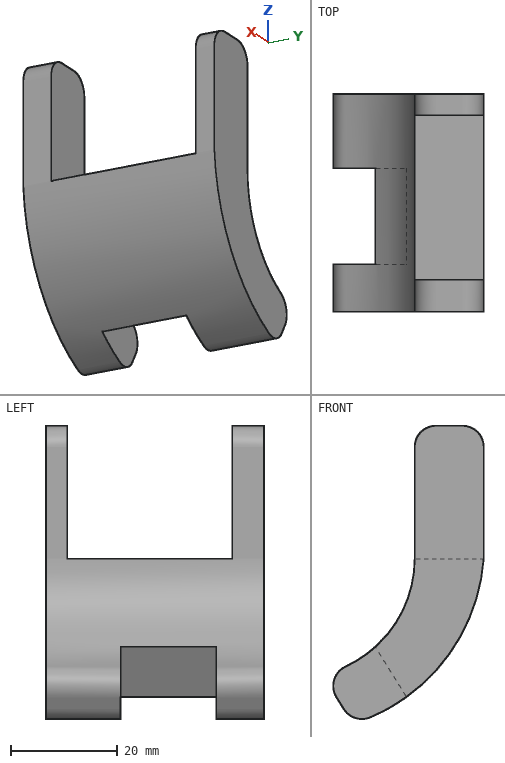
import cadquery as cq
import math


total_width = 41.0
total_height = 55.15
plate_thickness = 13.0
corner_radius = 4.0

front_arm_width = 6.0
back_arm_width = 4.0
web_top_z = 30.15

inner_radius = 22.35
inner_center = (-plate_thickness - inner_radius, web_top_z)
outer_radius = 35.2
outer_center_rise = 2.55
outer_center = (-math.sqrt(outer_radius**2 - outer_center_rise**2), web_top_z + outer_center_rise)

end_angle = math.radians(-58)
end_point = (-27.5, 3.8)
end_direction = (math.cos(end_angle), math.sin(end_angle))
inward_direction = (-end_direction[1], end_direction[0])

notch_from_front = 9.0
notch_width = 18.0
notch_depth = 11.2


def point_from_end(along, inward):
    """XZ point measured down the end face and square to it, into the plate."""
    return (
        end_point[0] + along * end_direction[0] + inward * inward_direction[0],
        end_point[1] + along * end_direction[1] + inward * inward_direction[1],
    )


def end_corner(center, radius):
    """Lower crossing of the end face line with a bend circle."""
    offset_x = end_point[0] - center[0]
    offset_z = end_point[1] - center[1]
    along = offset_x * end_direction[0] + offset_z * end_direction[1]
    across = offset_x * inward_direction[0] + offset_z * inward_direction[1]
    return point_from_end(math.sqrt(radius**2 - across**2) - along, 0)


def arc_middle(start, end, center, radius):
    """Point halfway along the bend arc between start and end."""
    start_angle = math.atan2(start[1] - center[1], start[0] - center[0])
    finish_angle = math.atan2(end[1] - center[1], end[0] - center[0])
    middle_angle = (start_angle + finish_angle) / 2
    return (
        center[0] + radius * math.cos(middle_angle),
        center[1] + radius * math.sin(middle_angle),
    )


def make_body():
    """Bent plate over the full width, with its four profile corners rounded."""
    inner_start = (-plate_thickness, web_top_z)
    outer_start = (0, web_top_z)
    inner_end = end_corner(inner_center, inner_radius)
    outer_end = end_corner(outer_center, outer_radius)
    body = (
        cq.Workplane("XZ")
        .moveTo(-plate_thickness, total_height)
        .lineTo(0, total_height)
        .lineTo(*outer_start)
        .threePointArc(arc_middle(outer_start, outer_end, outer_center, outer_radius), outer_end)
        .lineTo(*inner_end)
        .threePointArc(arc_middle(inner_end, inner_start, inner_center, inner_radius), inner_start)
        .close()
        .extrude(-total_width)
    )
    rounded_edges = body.faces(">Z").edges("|Y")
    for x, z in (inner_end, outer_end):
        edge_middle = (x, total_width / 2, z)
        rounded_edges = rounded_edges.add(body.edges(cq.NearestToPointSelector(edge_middle)))
    return rounded_edges.fillet(corner_radius)


def make_arm_gap():
    """Block removed between the two upright arms."""
    gap_width = total_width - front_arm_width - back_arm_width
    gap_height = total_height - web_top_z
    gap = cq.Workplane("XY").box(plate_thickness, gap_width, gap_height, centered=False)
    return gap.translate((-plate_thickness, front_arm_width, web_top_z))


def make_end_notch():
    """Slot cut square into the slanted end, through the plate thickness."""
    reach = 2 * plate_thickness
    return (
        cq.Workplane("XZ", origin=(0, notch_from_front, 0))
        .polyline(
            [
                point_from_end(-reach, -notch_depth),
                point_from_end(reach, -notch_depth),
                point_from_end(reach, notch_depth),
                point_from_end(-reach, notch_depth),
            ]
        )
        .close()
        .extrude(-notch_width)
    )


result = make_body().cut(make_arm_gap()).cut(make_end_notch())